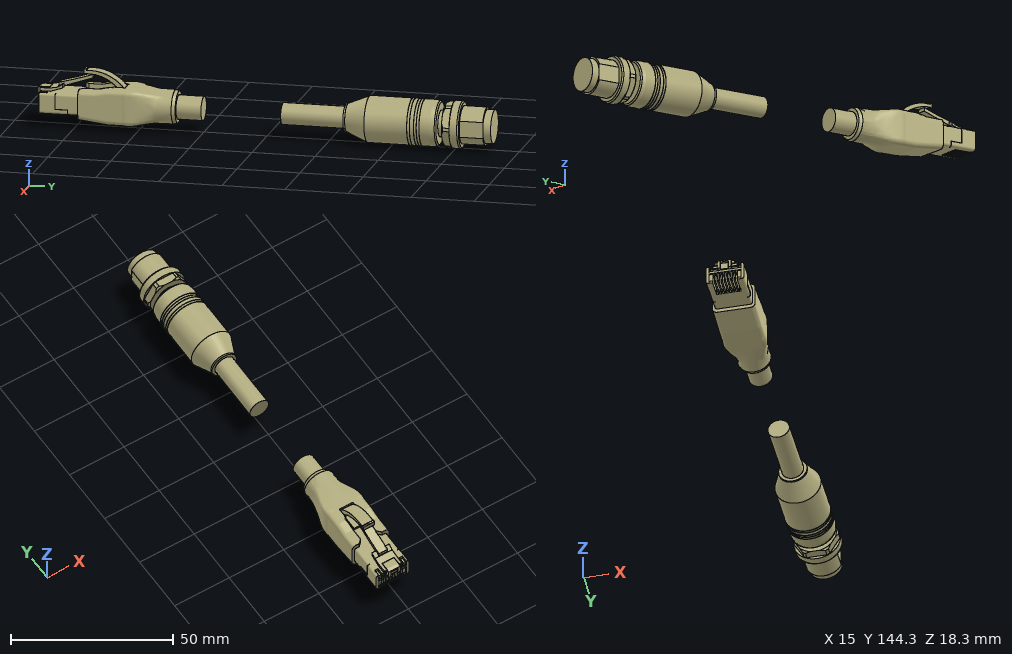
import cadquery as cq
import math


CONNECTOR_END_Y = 144.3
TIP_RADIUS = 5.3
SLEEVE_REAR_Y = 141.8
SLEEVE_RADIUS = 5.99
SLEEVE_FLAT_OFFSET = 5.41
FLANGE_FRONT_Y = 134.5
FLANGE_RADIUS = 7.5
FLANGE_CHAMFER = 0.5
HEX_FRONT_Y = 131.6
HEX_REAR_Y = 129.0
HEX_ACROSS_FLATS = 13.1
HEX_CORNER_RADIUS = 7.29
HEX_CHAMFER = 0.6
NECK_RADIUS = 4.2
GRIP_FRONT_Y = 127.3
GRIP_RADIUS = 7.4
GRIP_FRONT_RADIUS = 6.6
GRIP_SHOULDER_RADIUS = 7.0
GRIP_SHOULDER_Y = 126.8
GRIP_FULL_Y = 125.5
RING_RADIUS = 7.5
RING_SPANS = [(121.2, 122.1), (118.2, 119.0)]
TAPERED_RING_FRONT_Y = 120.3
TAPERED_RING_REAR_Y = 119.0
CONE_START_Y = 104.6
CONE_END_Y = 97.8
COLLAR_RADIUS = 4.55
COLLAR_LENGTH = 0.6
CONNECTOR_CABLE_RADIUS = 3.5
CONNECTOR_CABLE_END_Y = 77.2

PLUG_CABLE_RADIUS = 3.82
PLUG_CABLE_END_Y = 52.1
BOOT_REAR_Y = 44.2
BOOT_REAR_RADIUS = 5.41
BOOT_REAR_CHAMFER = 0.5
FLARE_START_Y = 43.0
FLARE_ROUND_END_Y = 39.2
FLARE_SQUARE_START_Y = 30.9
FLARE_END_Y = 27.7
FLARE_CORNER_START_ANGLE = 37.0
FLARE_CORNER_END_ANGLE = 47.0
BOOT_FRONT_Y = 13.7
BOOT_HALF_WIDTH = 6.8
BOOT_HALF_HEIGHT = 5.7
BOOT_CORNER_RADIUS = 1.6
RAMP_REAR_Y = 23.0
RAMP_FRONT_Y = 19.2
CHEEK_FRONT_TOP_Z = 4.9
BOOT_FRONT_BOTTOM_Z = -4.6
SLOT_HALF_WIDTH = 2.9
SLOT_REAR_HALF_WIDTH = 2.5
SLOT_STEP_Y = 24.0
SLOT_FLARE = 1.3
SLOT_LEDGE_FRONT_Y = 20.0
SLOT_LEDGE_HEIGHT = 0.7

SHELL_HALF_WIDTH = 5.9
SHIELD_HALF_WIDTH = 6.0
SHIELD_REAR_Y = 6.3
SHIELD_LOWER_REAR_Y = 10.2
SHIELD_STEP_Z = -1.6
SHELL_HALF_HEIGHT = 3.3
SHELL_FRONT_Y = 1.2
SHELL_EMBED = 1.5
SHELL_CORNER_RADIUS = 0.9
CONTACT_COUNT = 8
CONTACT_PITCH = 1.02
CONTACT_SLOT_WIDTH = 0.6
CONTACT_SLOT_TOP_Z = 0.5
CONTACT_SLOT_LENGTH = 5.8
FACE_RECESS_HALF_WIDTH = 5.0
FACE_RECESS_DEPTH = 0.5
FACE_RECESS_SPANS = [(-2.6, CONTACT_SLOT_TOP_Z), (1.3, 2.3)]
CORNER_NOTCH_INNER_X = 3.9
CORNER_NOTCH_FLOOR_Z = 2.3
CORNER_NOTCH_REAR_Y = 3.5

LEVER_HALF_WIDTH = 2.0
LATCH_HALF_WIDTH = 1.6
LATCH_FOOT_HALF_WIDTH = 3.2
NOSE_HALF_WIDTH = 2.2
NOSE_REAR_Y = 3.8
NOSE_BOTTOM_Z = 1.3
NOSE_TOP_Z = 4.5
NOSE_BEVEL_HEIGHT = 0.3
NOSE_BEVEL_LENGTH = 1.0
NOSE_WINDOW_HALF_WIDTH = 1.3
NOSE_WINDOW_TOP_Z = 3.6
NOSE_WINDOW_DEPTH = 0.7
LATCH_ARM_OUTLINE = [(17.3, 9.1), (17.3, 8.0), (6.5, 4.3), (6.5, 5.9), (11.8, 7.4)]
LATCH_FOOT_OUTLINE = [
    (8.1, 5.8), (6.3, 4.8), (NOSE_REAR_Y, 4.3), (0.9, 4.3), (0.9, 3.2), (NOSE_REAR_Y, 3.2), (8.1, 4.6),
]
LEVER_ROOT_Z = 3.2
LEVER_OUTER_START_Z = 4.9
LEVER_OUTER_MIDDLE = (22.0, 9.4)
LEVER_END_TOP_Z = 10.4
LEVER_END_BOTTOM_Z = 9.4
LEVER_INNER_MIDDLE = (20.8, 8.4)
LEVER_INNER_START = (25.4, 5.2)
LIP_FRONT_Y = 14.6
LIP_REAR_Y = 15.3
LIP_BOTTOM_Z = 9.2
LIP_TOP_Z = 10.8


def revolved(profile):
    """Turn a closed (radius, y) profile about the Y axis."""
    return cq.Workplane("XY").polyline(profile).close().revolve(360, (0, 0, 0), (0, 1, 0))


def cylinder(radius, start_y, end_y):
    """Cylinder on the Y axis from start_y down to end_y."""
    return cq.Workplane("XZ", origin=(0, start_y, 0)).circle(radius).extrude(start_y - end_y)


def block(half_width, y_range, z_range):
    """Box centred on X = 0 that spans the given Y and Z ranges."""
    return cq.Workplane("XY").box(
        2 * half_width, y_range[1] - y_range[0], z_range[1] - z_range[0], centered=(True, False, False)
    ).translate((0, y_range[0], z_range[0]))


def side_extrusion(outline, half_width):
    """Extrude a closed YZ outline equally to both sides of X = 0."""
    return outline.close().extrude(half_width, both=True)


def sleeve():
    """Round tip and the sleeve behind it with two side flats."""
    flatted = cylinder(SLEEVE_RADIUS, SLEEVE_REAR_Y, FLANGE_FRONT_Y)
    keep = block(SLEEVE_FLAT_OFFSET, (FLANGE_FRONT_Y, SLEEVE_REAR_Y), (-SLEEVE_RADIUS, SLEEVE_RADIUS))
    return cylinder(TIP_RADIUS, CONNECTOR_END_Y, SLEEVE_REAR_Y).union(flatted.intersect(keep))


def flange_and_hex():
    """Round flange and the hexagon behind it, whose corners are rounded off."""
    flange = cylinder(FLANGE_RADIUS, FLANGE_FRONT_Y, HEX_FRONT_Y).edges(">Y").chamfer(FLANGE_CHAMFER)
    circumscribed = HEX_ACROSS_FLATS / math.cos(math.pi / 6)
    hexagon = (
        cq.Workplane("XZ", origin=(0, HEX_FRONT_Y, 0))
        .polygon(6, circumscribed)
        .extrude(HEX_FRONT_Y - HEX_REAR_Y)
    )
    corner_limit = cylinder(HEX_CORNER_RADIUS, HEX_FRONT_Y, HEX_REAR_Y).edges("<Y").chamfer(HEX_CHAMFER)
    return flange.union(hexagon.intersect(corner_limit))


def grip():
    """Round grip with raised rings, a rear cone and a short collar."""
    body = revolved([
        (0, GRIP_FRONT_Y),
        (GRIP_FRONT_RADIUS, GRIP_FRONT_Y),
        (GRIP_SHOULDER_RADIUS, GRIP_SHOULDER_Y),
        (GRIP_RADIUS, GRIP_FULL_Y),
        (GRIP_RADIUS, CONE_START_Y),
        (COLLAR_RADIUS, CONE_END_Y),
        (COLLAR_RADIUS, CONE_END_Y - COLLAR_LENGTH),
        (0, CONE_END_Y - COLLAR_LENGTH),
    ])
    for rear_y, front_y in RING_SPANS:
        body = body.union(cylinder(RING_RADIUS, front_y, rear_y))
    tapered_ring = revolved([
        (0, TAPERED_RING_FRONT_Y),
        (RING_RADIUS, TAPERED_RING_FRONT_Y),
        (GRIP_RADIUS, TAPERED_RING_REAR_Y),
        (0, TAPERED_RING_REAR_Y),
    ])
    return body.union(tapered_ring)


def make_connector():
    neck = cylinder(NECK_RADIUS, HEX_REAR_Y, GRIP_FRONT_Y)
    cable = cylinder(CONNECTOR_CABLE_RADIUS, CONE_END_Y, CONNECTOR_CABLE_END_Y)
    return sleeve().union(flange_and_hex()).union(neck).union(grip()).union(cable)


def four_corner_section(workplane, half_width, half_height, corner, bulged):
    """Closed outline of four sides and four corner arcs, with the sides bulged into arcs or straight.

    corner holds the start, middle and end of the arc in the +X +Z quadrant.
    """
    start, middle, end = corner
    quadrants = [
        [start, middle, end],
        [(-x, z) for x, z in (end, middle, start)],
        [(-x, -z) for x, z in (start, middle, end)],
        [(x, -z) for x, z in (end, middle, start)],
    ]
    side_middles = [(0, half_height), (-half_width, 0), (0, -half_height), (half_width, 0)]
    outline = workplane.moveTo(*start)
    for index, side_middle in enumerate(side_middles):
        outline = outline.threePointArc(quadrants[index][1], quadrants[index][2])
        next_start = quadrants[(index + 1) % 4][0]
        if bulged:
            outline = outline.threePointArc(side_middle, next_start)
        else:
            outline = outline.lineTo(*next_start)
    return outline.close()


def boot_flare():
    """Loft from the round rear of the boot to its rounded rectangle."""
    angles = [
        FLARE_CORNER_START_ANGLE,
        (FLARE_CORNER_START_ANGLE + FLARE_CORNER_END_ANGLE) / 2,
        FLARE_CORNER_END_ANGLE,
    ]
    round_corner = [
        (BOOT_REAR_RADIUS * math.cos(math.radians(a)), BOOT_REAR_RADIUS * math.sin(math.radians(a)))
        for a in angles
    ]
    inset_x = BOOT_HALF_WIDTH - BOOT_CORNER_RADIUS
    inset_z = BOOT_HALF_HEIGHT - BOOT_CORNER_RADIUS
    square_corner = [
        (inset_x + BOOT_CORNER_RADIUS * math.cos(math.radians(a)),
         inset_z + BOOT_CORNER_RADIUS * math.sin(math.radians(a)))
        for a in (0, 45, 90)
    ]
    sections = []
    for y in (FLARE_START_Y, FLARE_ROUND_END_Y):
        plane = cq.Workplane("XZ", origin=(0, y, 0))
        outline = four_corner_section(plane, BOOT_REAR_RADIUS, BOOT_REAR_RADIUS, round_corner, True)
        sections.append(outline.val())
    for y in (FLARE_SQUARE_START_Y, FLARE_END_Y):
        plane = cq.Workplane("XZ", origin=(0, y, 0))
        outline = four_corner_section(plane, BOOT_HALF_WIDTH, BOOT_HALF_HEIGHT, square_corner, False)
        sections.append(outline.val())
    return cq.Workplane(cq.Solid.makeLoft(sections, False))


def boot_front():
    """Front of the boot, stepped down on top and tapered underneath."""
    outline = (
        cq.Workplane("YZ")
        .polyline([
            (FLARE_END_Y, -BOOT_HALF_HEIGHT),
            (FLARE_END_Y, BOOT_HALF_HEIGHT),
            (RAMP_REAR_Y, BOOT_HALF_HEIGHT),
            (RAMP_FRONT_Y, CHEEK_FRONT_TOP_Z),
            (BOOT_FRONT_Y, CHEEK_FRONT_TOP_Z),
            (BOOT_FRONT_Y, BOOT_FRONT_BOTTOM_Z),
            (RAMP_REAR_Y, -BOOT_HALF_HEIGHT),
        ])
    )
    side_edges = side_extrusion(outline, BOOT_HALF_WIDTH).faces("<X or >X").edges("not |Z")
    return side_edges.fillet(BOOT_CORNER_RADIUS)


def latch_slot():
    """Slot in the top of the boot, flared at its front end."""
    flare_rear_y = BOOT_FRONT_Y + SLOT_FLARE
    wide = SLOT_HALF_WIDTH + SLOT_FLARE
    return (
        cq.Workplane("XY", origin=(0, 0, SHELL_HALF_HEIGHT))
        .polyline([
            (-SLOT_REAR_HALF_WIDTH, FLARE_END_Y),
            (SLOT_REAR_HALF_WIDTH, FLARE_END_Y),
            (SLOT_REAR_HALF_WIDTH, SLOT_STEP_Y),
            (SLOT_HALF_WIDTH, SLOT_STEP_Y),
            (SLOT_HALF_WIDTH, flare_rear_y),
            (wide, BOOT_FRONT_Y),
            (-wide, BOOT_FRONT_Y),
            (-SLOT_HALF_WIDTH, flare_rear_y),
            (-SLOT_HALF_WIDTH, SLOT_STEP_Y),
            (-SLOT_REAR_HALF_WIDTH, SLOT_STEP_Y),
        ])
        .close()
        .extrude(BOOT_HALF_HEIGHT)
    )


def make_boot():
    rear = revolved([
        (0, FLARE_START_Y),
        (BOOT_REAR_RADIUS, FLARE_START_Y),
        (BOOT_REAR_RADIUS - BOOT_REAR_CHAMFER, BOOT_REAR_Y),
        (0, BOOT_REAR_Y),
    ])
    ledge = block(
        LEVER_HALF_WIDTH,
        (SLOT_LEDGE_FRONT_Y, FLARE_END_Y),
        (SHELL_HALF_HEIGHT, SHELL_HALF_HEIGHT + SLOT_LEDGE_HEIGHT),
    )
    return rear.union(boot_flare()).union(boot_front()).cut(latch_slot()).union(ledge)


def rounded_sleeve(half_width, rear_y):
    """Block at the shell front with rounded long edges."""
    y_range = (SHELL_FRONT_Y, rear_y)
    sleeve_block = block(half_width, y_range, (-SHELL_HALF_HEIGHT, SHELL_HALF_HEIGHT))
    return sleeve_block.edges("|Y").fillet(SHELL_CORNER_RADIUS)


def shield():
    """Slightly wider front part of the shell, stepped further back along its bottom."""
    upper = rounded_sleeve(SHIELD_HALF_WIDTH, SHIELD_REAR_Y)
    lower_limit = block(
        SHIELD_HALF_WIDTH, (SHELL_FRONT_Y, SHIELD_LOWER_REAR_Y), (-SHELL_HALF_HEIGHT, SHIELD_STEP_Z)
    )
    return upper.union(rounded_sleeve(SHIELD_HALF_WIDTH, SHIELD_LOWER_REAR_Y).intersect(lower_limit))


def contact_slots():
    """Row of slots for the contacts, open at the front and bottom."""
    slots = cq.Workplane("XY")
    slot = block(
        CONTACT_SLOT_WIDTH / 2,
        (SHELL_FRONT_Y, SHELL_FRONT_Y + CONTACT_SLOT_LENGTH),
        (-SHELL_HALF_HEIGHT, CONTACT_SLOT_TOP_Z),
    )
    for index in range(CONTACT_COUNT):
        slot_x = (index - (CONTACT_COUNT - 1) / 2) * CONTACT_PITCH
        slots = slots.add(slot.translate((slot_x, 0, 0)))
    return slots.combine()


def corner_notches():
    """Notches in the top front corners, inside the side walls."""
    y_range = (SHELL_FRONT_Y, CORNER_NOTCH_REAR_Y)
    z_range = (CORNER_NOTCH_FLOOR_Z, SHELL_HALF_HEIGHT)
    return block(FACE_RECESS_HALF_WIDTH, y_range, z_range).cut(block(CORNER_NOTCH_INNER_X, y_range, z_range))


def make_shell():
    core = rounded_sleeve(SHELL_HALF_WIDTH, BOOT_FRONT_Y + SHELL_EMBED)
    shell = core.union(shield()).cut(contact_slots()).cut(corner_notches())
    for z_range in FACE_RECESS_SPANS:
        recess_y = (SHELL_FRONT_Y, SHELL_FRONT_Y + FACE_RECESS_DEPTH)
        shell = shell.cut(block(FACE_RECESS_HALF_WIDTH, recess_y, z_range))
    return shell


def release_lever():
    """Curved lever that rises out of the slot and ends in an upright lip above the latch."""
    outline = (
        cq.Workplane("YZ")
        .moveTo(FLARE_END_Y, LEVER_ROOT_Z)
        .lineTo(FLARE_END_Y, LEVER_OUTER_START_Z)
        .threePointArc(LEVER_OUTER_MIDDLE, (LIP_REAR_Y, LEVER_END_TOP_Z))
        .lineTo(LIP_REAR_Y, LEVER_END_BOTTOM_Z)
        .threePointArc(LEVER_INNER_MIDDLE, LEVER_INNER_START)
        .lineTo(LEVER_INNER_START[0], LEVER_ROOT_Z)
    )
    lip = block(LEVER_HALF_WIDTH, (LIP_FRONT_Y, LIP_REAR_Y), (LIP_BOTTOM_Z, LIP_TOP_Z))
    return side_extrusion(outline, LEVER_HALF_WIDTH).union(lip)


def latch_nose():
    """Block at the tip, bevelled along its top front edge and with an open window."""
    y_range = (0, NOSE_REAR_Y)
    nose = block(NOSE_HALF_WIDTH, y_range, (NOSE_BOTTOM_Z, NOSE_TOP_Z))
    nose = nose.faces("<Y").edges(">Z").chamfer(NOSE_BEVEL_HEIGHT, NOSE_BEVEL_LENGTH)
    window = block(NOSE_WINDOW_HALF_WIDTH, (0, NOSE_WINDOW_DEPTH), (NOSE_BOTTOM_Z, NOSE_WINDOW_TOP_Z))
    return nose.cut(window)


def make_latch():
    """Sloping latch arm and the wider foot that joins it to the nose."""
    arm = cq.Workplane("YZ").polyline(LATCH_ARM_OUTLINE)
    foot = cq.Workplane("YZ").polyline(LATCH_FOOT_OUTLINE)
    return (
        side_extrusion(arm, LATCH_HALF_WIDTH)
        .union(side_extrusion(foot, LATCH_FOOT_HALF_WIDTH))
        .union(latch_nose())
    )


def make_plug():
    cable = cylinder(PLUG_CABLE_RADIUS, PLUG_CABLE_END_Y, BOOT_REAR_Y)
    return cable.union(make_boot()).union(make_shell()).union(release_lever()).union(make_latch())


connector = make_connector()
plug = make_plug()

result = cq.Compound.makeCompound([connector.val(), plug.val()])